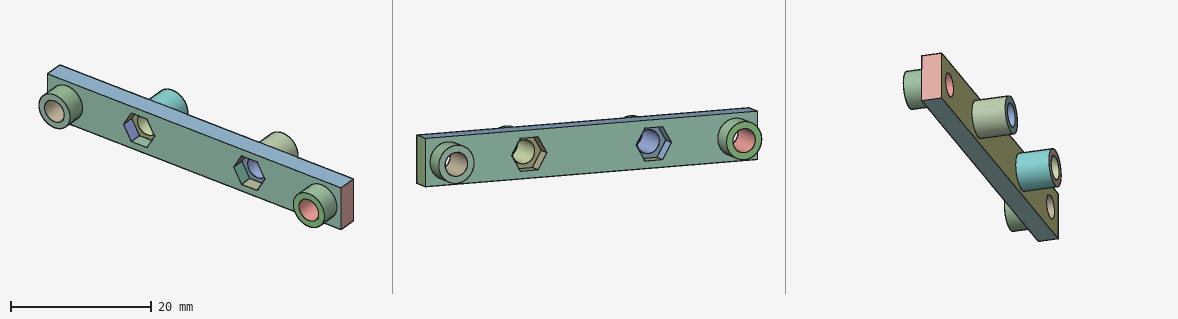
import cadquery as cq

bar_length = 52.0
bar_thickness = 3.0
bar_height = 7.0

boss_diameter = 5.5
hole_diameter = 3.5
front_boss_length = 3.0
back_boss_length = 5.0
front_boss_spacing = 45.05
back_boss_spacing = 19.5

nut_corner_diameter = 5.5
nut_pocket_depth = 2.0


def pair(spacing):
    """Two points along X, symmetric about the middle of the bar."""
    return [(-spacing / 2, 0), (spacing / 2, 0)]


def plane_at(y):
    """Sketch plane at depth y, extruding toward +Y."""
    return cq.Workplane("XZ", origin=(0, y, 0))


def cylinders(spacing, diameter, y_start, length):
    """A pair of cylinders running from y_start toward +Y."""
    return plane_at(y_start).pushPoints(pair(spacing)).circle(diameter / 2).extrude(-length)


bar = plane_at(0).rect(bar_length, bar_height).extrude(-bar_thickness)
front_bosses = cylinders(front_boss_spacing, boss_diameter, -front_boss_length, front_boss_length)
back_bosses = cylinders(back_boss_spacing, boss_diameter, bar_thickness, back_boss_length)
result = bar.union(front_bosses).union(back_bosses)

total_depth = front_boss_length + bar_thickness + back_boss_length
for spacing in (front_boss_spacing, back_boss_spacing):
    result = result.cut(cylinders(spacing, hole_diameter, -front_boss_length, total_depth))

nut_pockets = (
    plane_at(0)
    .pushPoints(pair(back_boss_spacing))
    .polygon(6, nut_corner_diameter)
    .extrude(-nut_pocket_depth)
)
result = result.cut(nut_pockets)